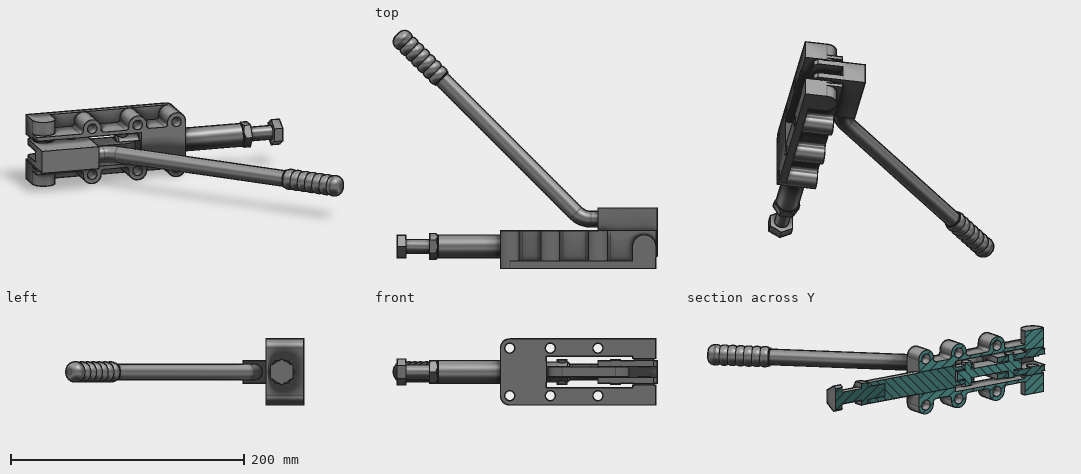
import cadquery as cq
import math


body_depth = 57.0
body_left = -123.5
body_front = -19.0
body_back = 13.6
flange_back = -12.7
recess_z = 16.5
hole_z = 20.5
hole_diameter = 8.5
boss_radius = body_depth / 2 - hole_z
hole_xs = [body_left + boss_radius, -80.5, -39.7]
boss_fillet = 2.7
slot_left = -84.0
slot_width = 26.8
pivot_gap = 22.7
lug_radius = 10.0
body_right = lug_radius

plunger_diameter = 19.7
plunger_left = -177.5
plunger_right = -64.2
plunger_chamfer = 1.0
fork_diameter = 17.5
fork_chamfer = 1.5
fork_gap = 9.5

hex_flats = 19.5
hex_corners = hex_flats / math.cos(math.pi / 6)
head_left = -212.0
head_length = 7.5
nut_left = -184.2
nut_length = plunger_left - nut_left
nut_chamfer_length = 1.4
shank_diameter = 12.0
thread_depth = 18.2

link_thickness = 8.2
link_radius = 11.8
handle_pin_x = -24.7
plunger_pin_x = -70.5
pin_diameter = 8.5
pin_length = 21.3

yoke_left = -39.7
yoke_right = 11.3
yoke_width = 19.5
yoke_back = 33.1
cheek_front = -11.3
cheek_chamfer = 3.2
pivot_disc_radius = 8.6
inner_disc_radius = 5.2
bar_diameter = 13.6
bar_y = (body_back + yoke_back) / 2
bend_start_x = -45.8
bend_radius = 18.2
bend_angle = 45
bar_length = 162.7
grip_length = 54.0
grip_radius = 8.8
grip_tip_radius = 6.4
rib_count = 7
rib_pitch = 7.0
valley_radius = 7.7
grip_neck_length = 1.0


def box(x0, x1, y0, y1, depth):
    """Box between two X and two Y positions, centred on Z = 0."""
    return cq.Workplane("XY").box(x1 - x0, y1 - y0, depth).translate(((x0 + x1) / 2, (y0 + y1) / 2, 0))


def rod_x(x0, x1, diameter):
    """Cylinder along the plunger axis."""
    return cq.Workplane("YZ", origin=(x0, 0, 0)).circle(diameter / 2).extrude(x1 - x0)


def rod_z(x, diameter, length):
    """Cylinder along Z through the plunger axis, centred on Z = 0."""
    return cq.Workplane("XY", origin=(x, 0, 0)).circle(diameter / 2).extrude(length / 2, both=True)


def hex_x(x0, length, turn):
    """Hexagonal prism on the plunger axis; at a turn of 0 degrees two of its corners point along Y."""
    prism = cq.Workplane("YZ", origin=(x0, 0, 0)).polygon(6, hex_corners).extrude(length)
    return prism.rotate((0, 0, 0), (1, 0, 0), turn)


def make_lug():
    """Round-ended pivot lug block over the whole housing depth."""
    lug = box(-lug_radius, lug_radius, body_front, 0, body_depth)
    return lug.union(rod_z(0, 2 * lug_radius, body_depth))


def along_y(x, z, radius):
    """Cylinder along Y through the whole housing."""
    circle = cq.Workplane("XZ", origin=(x, body_front, z)).circle(radius)
    return circle.extrude(body_front - body_back)


def make_core():
    """Body behind the flange, with bosses around the mounting holes blended into its flat sides."""
    core = box(body_left, body_right, body_front, body_back, 2 * recess_z)
    for x in hole_xs:
        core = core.union(box(x - boss_radius, x + boss_radius, body_front, body_back, 2 * hole_z))
    margin = boss_fillet / 2
    near_sides = cq.selectors.BoxSelector(
        (body_left + boss_radius, body_front - margin, -recess_z - margin),
        (body_right - boss_fillet, body_back + margin, recess_z + margin))
    core = core.edges("|Y").edges(near_sides).fillet(boss_fillet)
    for x in hole_xs:
        for z in (-hole_z, hole_z):
            core = core.union(along_y(x, z, boss_radius))
    return core


def make_housing():
    core = make_core()
    flange = box(body_left, body_right, body_front, flange_back, body_depth)
    flange = flange.edges("|Y and <X").fillet(boss_radius)
    body = core.union(flange).cut(box(slot_left, body_right, body_front, body_back, slot_width))
    body = body.union(make_lug()).cut(box(-lug_radius, body_right, body_front, body_back, pivot_gap))
    body = body.cut(rod_x(body_left, slot_left, plunger_diameter))
    for x in hole_xs:
        for z in (-hole_z, hole_z):
            body = body.cut(along_y(x, z, hole_diameter / 2))
    return body


def make_plunger():
    plunger = rod_x(plunger_left, slot_left, plunger_diameter).faces("<X").chamfer(plunger_chamfer)
    plunger = plunger.union(rod_x(slot_left, plunger_right, fork_diameter).faces(">X").chamfer(fork_chamfer))
    plunger = plunger.cut(box(slot_left, plunger_right, -plunger_diameter, plunger_diameter, fork_gap))
    plunger = plunger.cut(rod_z(plunger_pin_x, pin_diameter, plunger_diameter))
    return plunger.cut(rod_x(plunger_left, plunger_left + thread_depth, shank_diameter))


def make_spindle():
    head = hex_x(head_left, head_length, 90)
    nut = hex_x(nut_left, nut_length, 0)
    cone = cq.Workplane("YZ", origin=(plunger_left, 0, 0)).circle(hex_flats / 2)
    cone = cone.workplane(offset=-nut_chamfer_length).circle(hex_corners / 2).loft()
    nut_outline = rod_x(nut_left, plunger_left - nut_chamfer_length, hex_corners).union(cone)
    shank = rod_x(head_left, plunger_left + thread_depth, shank_diameter)
    return head.union(nut.intersect(nut_outline)).union(shank)


def make_link():
    centre_x = (handle_pin_x + plunger_pin_x) / 2
    link = cq.Workplane("XY", origin=(centre_x, 0, -link_thickness / 2))
    link_length = handle_pin_x - plunger_pin_x + 2 * link_radius
    link = link.slot2D(link_length, 2 * link_radius).extrude(link_thickness)
    for x in (handle_pin_x, plunger_pin_x):
        link = link.union(rod_z(x, pin_diameter, pin_length))
    return link


def make_yoke():
    yoke = box(yoke_left, yoke_right, cheek_front, yoke_back, yoke_width)
    yoke = yoke.edges("|Z and >X and <Y").chamfer(cheek_chamfer)
    yoke = yoke.union(rod_z(0, 2 * pivot_disc_radius, pivot_gap))
    yoke = yoke.cut(box(yoke_left, yoke_right, cheek_front, body_back, fork_gap))
    inner_discs = rod_z(0, 2 * inner_disc_radius, fork_gap)
    inner_discs = inner_discs.cut(rod_z(0, 2 * inner_disc_radius, link_thickness))
    return yoke.union(inner_discs).cut(rod_z(handle_pin_x, pin_diameter, yoke_width))


def rib_point(offset, valley):
    """Point on the arc of a rib, at a distance along the grip from the valley before it."""
    rise = grip_radius - valley_radius
    arc_radius = ((rib_pitch / 2) ** 2 + rise ** 2) / (2 * rise)
    from_crest = rib_pitch / 2 - offset
    return (grip_radius - arc_radius + math.sqrt(arc_radius ** 2 - from_crest ** 2), valley + offset)


def make_grip():
    """Grip standing on the XY plane with its axis along Z, turned from its half profile."""
    half_rib = rib_pitch / 2
    last_valley = grip_neck_length + (rib_count - 1) * rib_pitch
    tip_start = grip_length - grip_tip_radius
    flat_radius = grip_radius - grip_tip_radius
    tip_mid = grip_tip_radius * math.sin(math.pi / 4)
    profile = cq.Workplane("XZ").lineTo(valley_radius, 0).lineTo(valley_radius, grip_neck_length)
    for i in range(rib_count - 1):
        valley = grip_neck_length + i * rib_pitch
        crest_point = (grip_radius, valley + half_rib)
        profile = profile.threePointArc(crest_point, (valley_radius, valley + rib_pitch))
    last_crest = (grip_radius, last_valley + half_rib)
    profile = profile.threePointArc(rib_point(half_rib / 2, last_valley), last_crest)
    profile = profile.lineTo(grip_radius, tip_start)
    profile = profile.threePointArc((flat_radius + tip_mid, tip_start + tip_mid), (flat_radius, grip_length))
    return profile.lineTo(0, grip_length).close().revolve(360, (0, 0, 0), (0, 1, 0))


def make_handle():
    angle = math.radians(bend_angle)
    bend_x = bend_start_x - bend_radius * math.sin(angle)
    bend_y = bar_y + bend_radius * (1 - math.cos(angle))
    mid_x = bend_start_x - bend_radius * math.sin(angle / 2)
    mid_y = bar_y + bend_radius * (1 - math.cos(angle / 2))
    grip_x = bend_x - bar_length * math.cos(angle)
    grip_y = bend_y + bar_length * math.sin(angle)
    path = cq.Workplane("XY").moveTo(yoke_left, bar_y).lineTo(bend_start_x, bar_y)
    path = path.threePointArc((mid_x, mid_y), (bend_x, bend_y)).lineTo(grip_x, grip_y)
    bar = cq.Workplane("YZ", origin=(yoke_left, bar_y, 0)).circle(bar_diameter / 2).sweep(path)
    grip = make_grip().rotate((0, 0, 0), (0, 1, 0), -90).rotate((0, 0, 0), (0, 0, 1), -bend_angle)
    return make_yoke().union(bar).union(grip.translate((grip_x, grip_y, 0)))


housing = make_housing()
plunger = make_plunger()
spindle = make_spindle()
link = make_link()
handle = make_handle()

result = cq.Compound.makeCompound([housing.val(), plunger.val(), spindle.val(), link.val(), handle.val()])